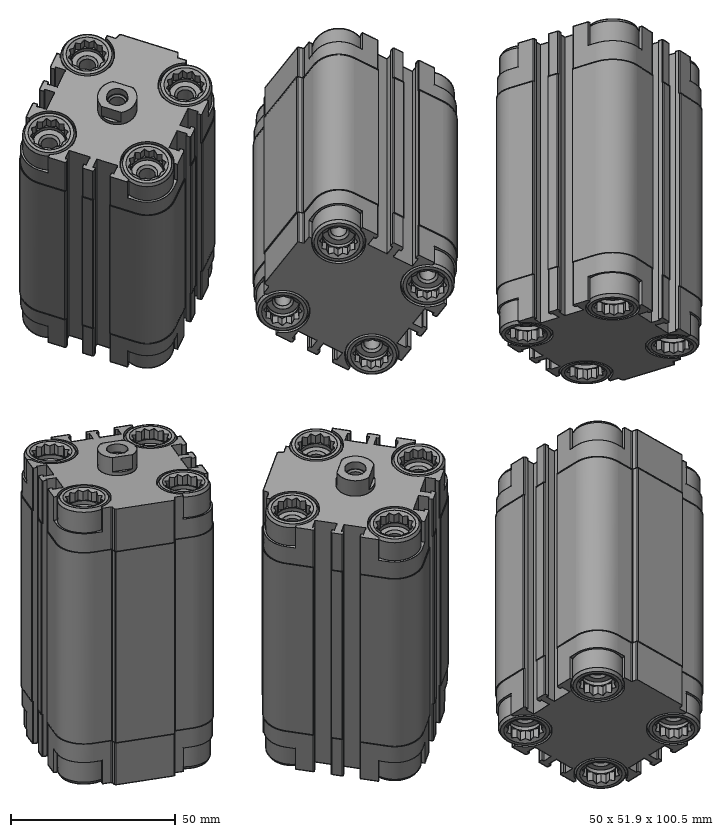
import cadquery as cq
import math

TOTAL_HEIGHT = 100.5
ROD_STICKOUT = 6.0
HOUSING_HEIGHT = TOTAL_HEIGHT - ROD_STICKOUT
CAP_HEIGHT = 14.5
BARREL_HEIGHT = HOUSING_HEIGHT - 2 * CAP_HEIGHT

BARREL_HALF_WIDTH = 25.0
CAP_INSET = 0.3
SCREW_OFFSET = 16.0
CORNER_RADIUS = BARREL_HALF_WIDTH - SCREW_OFFSET

RAIL_TOP_Y = 26.9
RAIL_TOP_HALF_WIDTH = 9.6
RAIL_FOOT_HALF_WIDTH = 9.9
RAIL_BEVEL = 0.3

SLOT_FLOOR = 20.0
SLOT_LIP_INNER = 23.2
SLOT_OUTER_EDGE = 7.9
SLOT_MOUTH_OUTER_EDGE = 7.1
RIB_HALF_WIDTH = 1.1
RIB_HEAD_HALF_WIDTH = 1.9
SLOT_MOUTH_CHAMFER = 0.3

COLLAR_POCKET_DIAMETER = 16.5
COLLAR_DIAMETER = 16.2
COLLAR_CHAMFER_WIDTH = 0.6
COLLAR_CHAMFER_HEIGHT = 1.0
RELIEF_INNER_EDGE = 13.0
RELIEF_DEPTH = 8.0

SOCKET_POINTS = 12
SOCKET_MOUTH_DIAMETER = 12.9
SOCKET_MOUTH_DEPTH = 0.8
SOCKET_POINT_DIAMETER = 11.6
SOCKET_ROOT_DIAMETER = 10.0
SOCKET_STAR_DEPTH = 3.8
SOCKET_DEPTH = 5.1
SCREW_HOLE_DIAMETER = 4.9
SCREW_COUNTERSINK_DIAMETER = 6.4

ROD_DIAMETER = 12.0
ROD_FLATS_WIDTH = 10.0
ROD_FLATS_LENGTH = 4.8
ROD_HOLE_DIAMETER = 4.9
ROD_BORE_DIAMETER = 6.4
ROD_BORE_DEPTH = 2.7
ROD_BEVEL_DIAMETER = 6.0
ROD_HOLE_DEPTH = 10.0
DRILL_TIP_ANGLE = 118.0


def cone(large_diameter, small_diameter, height, top_z):
    """A frustum pointing down from its large end at top_z."""
    return cq.Workplane(
        cq.Solid.makeCone(
            large_diameter / 2, small_diameter / 2, height, cq.Vector(0, 0, top_z), cq.Vector(0, 0, -1)
        )
    )


def cylinder(diameter, bottom_z, top_z):
    return cq.Workplane("XY").workplane(offset=bottom_z).circle(diameter / 2).extrude(top_z - bottom_z)


def profile_block(inset, bottom_z, height):
    """Rounded square with the rail on +Y and slots on the other sides, its faces set in by the inset."""
    face = BARREL_HALF_WIDTH - inset
    block = (
        cq.Workplane("XY")
        .workplane(offset=bottom_z)
        .rect(2 * face, 2 * face)
        .extrude(height)
        .edges("|Z")
        .fillet(CORNER_RADIUS - inset)
    )
    block = block.union(rail(inset, bottom_z, height))
    slots = slot_pair(inset, bottom_z, height)
    for angle in (-90, 0, 90):
        block = block.cut(slots.rotate((0, 0, 0), (0, 0, 1), angle))
    return block


def rail(inset, bottom_z, height):
    """Tapered rail on the +Y side, bevelled at its top edges and along its foot."""
    face = BARREL_HALF_WIDTH - inset
    top_y = RAIL_TOP_Y - inset
    right_side = [
        (RAIL_FOOT_HALF_WIDTH + RAIL_BEVEL, SCREW_OFFSET),
        (RAIL_FOOT_HALF_WIDTH + RAIL_BEVEL, face),
        (RAIL_FOOT_HALF_WIDTH, face + RAIL_BEVEL),
        (RAIL_TOP_HALF_WIDTH, top_y - RAIL_BEVEL),
        (RAIL_TOP_HALF_WIDTH - RAIL_BEVEL, top_y),
    ]
    left_side = [(-x, y) for x, y in reversed(right_side)]
    return (
        cq.Workplane("XY")
        .workplane(offset=bottom_z)
        .polyline(right_side + left_side)
        .close()
        .extrude(height)
    )


def slot_pair(inset, bottom_z, height):
    """The two undercut slots of the -Y side, with chamfered mouths at the inset face."""
    face = BARREL_HALF_WIDTH - inset
    chamfer_start = face - SLOT_MOUTH_CHAMFER
    slot = (
        cq.Workplane("XY")
        .workplane(offset=bottom_z)
        .polyline(
            [
                (RIB_HALF_WIDTH, -SLOT_FLOOR),
                (SLOT_OUTER_EDGE, -SLOT_FLOOR),
                (SLOT_OUTER_EDGE, -SLOT_LIP_INNER),
                (SLOT_MOUTH_OUTER_EDGE, -SLOT_LIP_INNER),
                (SLOT_MOUTH_OUTER_EDGE, -chamfer_start),
                (SLOT_MOUTH_OUTER_EDGE + SLOT_MOUTH_CHAMFER, -face),
                (RIB_HEAD_HALF_WIDTH - SLOT_MOUTH_CHAMFER, -face),
                (RIB_HEAD_HALF_WIDTH, -chamfer_start),
                (RIB_HEAD_HALF_WIDTH, -SLOT_LIP_INNER),
                (RIB_HALF_WIDTH, -SLOT_LIP_INNER),
            ]
        )
        .close()
        .extrude(height)
    )
    return slot.union(slot.mirror("YZ"))


def corner_relief():
    """Material removed around a collar at the +X +Y corner, centred on the screw axis."""
    inner = RELIEF_INNER_EDGE - SCREW_OFFSET
    size = BARREL_HALF_WIDTH - RELIEF_INNER_EDGE
    bottom_z = HOUSING_HEIGHT - RELIEF_DEPTH
    corner = (
        cq.Workplane("XY")
        .workplane(offset=bottom_z)
        .rect(size, size, centered=False)
        .extrude(RELIEF_DEPTH)
        .translate((inner, inner, 0))
        .union(cylinder(COLLAR_POCKET_DIAMETER, bottom_z, HOUSING_HEIGHT))
        .cut(cylinder(COLLAR_DIAMETER, bottom_z, HOUSING_HEIGHT))
    )
    chamfer_bottom_z = HOUSING_HEIGHT - COLLAR_CHAMFER_HEIGHT
    chamfer = cylinder(COLLAR_DIAMETER, chamfer_bottom_z, HOUSING_HEIGHT).cut(
        cq.Workplane(
            cq.Solid.makeCone(
                COLLAR_DIAMETER / 2,
                COLLAR_DIAMETER / 2 - COLLAR_CHAMFER_WIDTH,
                COLLAR_CHAMFER_HEIGHT,
                cq.Vector(0, 0, chamfer_bottom_z),
            )
        )
    )
    return corner.union(chamfer)


def star_points():
    points = []
    for index in range(2 * SOCKET_POINTS):
        diameter = SOCKET_ROOT_DIAMETER if index % 2 else SOCKET_POINT_DIAMETER
        angle = math.pi * index / SOCKET_POINTS
        points.append((diameter / 2 * math.cos(angle), diameter / 2 * math.sin(angle)))
    return points


def socket():
    """Twelve-point recess with a bevelled mouth and a countersink in its floor."""
    star = (
        cq.Workplane("XY")
        .workplane(offset=HOUSING_HEIGHT - SOCKET_STAR_DEPTH)
        .polyline(star_points())
        .close()
        .extrude(SOCKET_STAR_DEPTH)
    )
    floor_z = HOUSING_HEIGHT - SOCKET_DEPTH
    well = cylinder(SOCKET_ROOT_DIAMETER, floor_z, HOUSING_HEIGHT)
    mouth = cone(SOCKET_MOUTH_DIAMETER, SOCKET_ROOT_DIAMETER, SOCKET_MOUTH_DEPTH, HOUSING_HEIGHT)
    countersink_depth = (SCREW_COUNTERSINK_DIAMETER - SCREW_HOLE_DIAMETER) / 2
    countersink = cone(SCREW_COUNTERSINK_DIAMETER, SCREW_HOLE_DIAMETER, countersink_depth, floor_z)
    return star.union(well).union(mouth).union(countersink)


def make_housing():
    housing = profile_block(0, CAP_HEIGHT, BARREL_HEIGHT)
    for bottom_z in (0, HOUSING_HEIGHT - CAP_HEIGHT):
        housing = housing.union(profile_block(CAP_INSET, bottom_z, CAP_HEIGHT))

    end_features = corner_relief().union(socket())
    mid_plane = (0, 0, HOUSING_HEIGHT / 2)
    screw_features = end_features.union(end_features.mirror("XY", mid_plane)).union(
        cylinder(SCREW_HOLE_DIAMETER, 0, HOUSING_HEIGHT)
    )
    first_corner = screw_features.translate((SCREW_OFFSET, SCREW_OFFSET, 0))
    for angle in (0, 90, 180, 270):
        housing = housing.cut(first_corner.rotate((0, 0, 0), (0, 0, 1), angle))

    return housing.cut(cylinder(ROD_DIAMETER, HOUSING_HEIGHT - CAP_HEIGHT, HOUSING_HEIGHT))


def make_rod():
    """Piston rod with two flats and a counterbored blind hole in its end."""
    rod = cylinder(ROD_DIAMETER, HOUSING_HEIGHT - CAP_HEIGHT, TOTAL_HEIGHT)
    flats_z = TOTAL_HEIGHT - ROD_FLATS_LENGTH
    between_flats = (
        cq.Workplane("XY")
        .workplane(offset=flats_z)
        .rect(ROD_DIAMETER, ROD_FLATS_WIDTH)
        .extrude(ROD_FLATS_LENGTH)
    )
    rod = rod.cut(cylinder(ROD_DIAMETER, flats_z, TOTAL_HEIGHT).cut(between_flats))

    rod = rod.cut(cylinder(ROD_BORE_DIAMETER, TOTAL_HEIGHT - ROD_BORE_DEPTH, TOTAL_HEIGHT))
    bevel_depth = (ROD_BEVEL_DIAMETER - ROD_HOLE_DIAMETER) / 2
    rod = rod.cut(cone(ROD_BEVEL_DIAMETER, ROD_HOLE_DIAMETER, bevel_depth, TOTAL_HEIGHT - ROD_BORE_DEPTH))
    hole_bottom_z = TOTAL_HEIGHT - ROD_HOLE_DEPTH
    rod = rod.cut(cylinder(ROD_HOLE_DIAMETER, hole_bottom_z, TOTAL_HEIGHT))
    tip_height = ROD_HOLE_DIAMETER / 2 / math.tan(math.radians(DRILL_TIP_ANGLE / 2))
    return rod.cut(cone(ROD_HOLE_DIAMETER, 0, tip_height, hole_bottom_z))


housing = make_housing()
piston_rod = make_rod()
result = cq.Compound.makeCompound([housing.val(), piston_rod.val()])